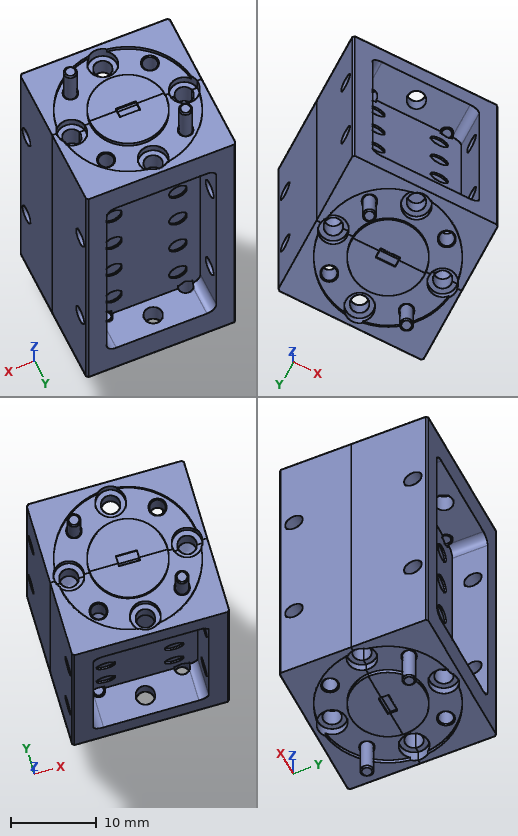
import cadquery as cq
import math


total_height = 46.25
block_width = 19.05
block_height = 38.1
edge_chamfer = 0.25
seam_y = -0.3
half_width = block_width / 2
half_height = block_height / 2

pocket_width = 13.95
pocket_height = 29.95
pocket_corner_radius = 1.2
pocket_floor_y = 5.0
pocket_depth = half_width - pocket_floor_y
end_wall = (block_height - pocket_height) / 2

seat_diameter = 2.25
seat_depth = 0.25
seat_rows = 5
seat_row_pitch = 5.75
seat_column_spacing = 8.28

side_hole_diameter = 2.25
side_hole_y = 7.65
side_hole_z = 8.28

recess_diameter = 17.3
boss_diameter = 9.52
recess_depth = 0.5
guide_width = 2.55
guide_height = 1.25
guide_depth = 0.3

bolt_circle_radius = 7.15
drill_depth = 4.55
drill_tip_angle = 118.0
screw_hole_diameter = 2.25
counterbore_diameter = 3.6
counterbore_depth = 1.53
mouth_chamfer = 0.15
dowel_socket_diameter = 1.85

pin_diameter = 1.55
pin_chamfer = 0.2
pin_projection = (total_height - block_height) / 2
pin_insertion = end_wall
pin_length = pin_projection + pin_insertion

screw_angles = (0, 90, 180, 270)
pin_angles = (135, 315)
socket_angles = (45, 225)


def flange_point(angle):
    """Point on the bolt circle at the given angle."""
    return (
        bolt_circle_radius * math.cos(math.radians(angle)),
        bolt_circle_radius * math.sin(math.radians(angle)),
    )


def turn_to_lower_end(shape):
    """Turn a shape from the upper end of the block to the lower end."""
    return shape.rotate((0, 0, 0), (1, 0, 0), 180)


def drilled_hole(angle, diameter):
    """Cutter for a hole drilled from the upper end face, with a conical tip."""
    radius = diameter / 2
    tip_height = radius / math.tan(math.radians(drill_tip_angle / 2))
    shoulder_z = half_height - drill_depth
    return (
        cq.Workplane("XZ")
        .moveTo(0, half_height)
        .lineTo(radius, half_height)
        .lineTo(radius, shoulder_z)
        .lineTo(0, shoulder_z - tip_height)
        .close()
        .revolve(360, (0, 0, 0), (0, 1, 0))
        .translate((*flange_point(angle), 0))
    )


def screw_hole(angle):
    """Cutter for a counterbored screw hole."""
    counterbore = (
        cq.Workplane("XY", origin=(0, 0, half_height))
        .center(*flange_point(angle))
        .circle(counterbore_diameter / 2)
        .extrude(-counterbore_depth)
    )
    return drilled_hole(angle, screw_hole_diameter).union(counterbore)


def chamfered_hole(angle, diameter):
    """Cutter for a dowel hole with its mouth chamfered at the recess floor."""
    mouth_radius = diameter / 2 + mouth_chamfer
    mouth = (
        cq.Workplane("XY", origin=(0, 0, half_height - recess_depth))
        .center(*flange_point(angle))
        .circle(mouth_radius)
        .extrude(-mouth_radius, taper=45)
    )
    return drilled_hole(angle, diameter).union(mouth)


def flange_cutter():
    """Everything removed from the upper end of the block."""
    end_face = cq.Workplane("XY", origin=(0, 0, half_height))
    cutter = end_face.circle(recess_diameter / 2).circle(boss_diameter / 2).extrude(-recess_depth)
    cutter = cutter.union(end_face.rect(guide_width, guide_height).extrude(-guide_depth))
    for angle in screw_angles:
        cutter = cutter.union(screw_hole(angle))
    for angle in pin_angles:
        cutter = cutter.union(chamfered_hole(angle, pin_diameter))
    for angle in socket_angles:
        cutter = cutter.union(chamfered_hole(angle, dowel_socket_diameter))
    return cutter


def pocket_cutter():
    """The pocket in the -Y face, with the seats in its floor."""
    pocket = (
        cq.Workplane("XZ", origin=(0, -pocket_floor_y, 0))
        .rect(pocket_width, pocket_height)
        .extrude(pocket_depth)
        .edges("|Y")
        .fillet(pocket_corner_radius)
    )
    seats = (
        cq.Workplane("XZ", origin=(0, -pocket_floor_y, 0))
        .rarray(seat_column_spacing, seat_row_pitch, 2, seat_rows)
        .circle(seat_diameter / 2)
        .extrude(-seat_depth)
    )
    return pocket.union(seats)


def side_hole_cutter():
    """Four holes along X that cross both pockets."""
    return (
        cq.Workplane("YZ")
        .rarray(2 * side_hole_y, 2 * side_hole_z, 2, 2)
        .circle(side_hole_diameter / 2)
        .extrude(half_width, both=True)
    )


def machined_block():
    """The whole block, before it is divided at the seam."""
    block = (
        cq.Workplane("XY")
        .box(block_width, block_width, block_height)
        .edges("|Z")
        .chamfer(edge_chamfer)
    )
    front_pocket = pocket_cutter()
    upper_flange = flange_cutter()
    return (
        block.cut(front_pocket)
        .cut(front_pocket.mirror("XZ"))
        .cut(side_hole_cutter())
        .cut(upper_flange)
        .cut(turn_to_lower_end(upper_flange))
    )


def block_half(y_min, y_max):
    """The part of the machined block between two Y positions."""
    region = cq.Workplane("XY").box(block_width, y_max - y_min, block_height)
    return machined_block().intersect(region.translate((0, (y_min + y_max) / 2, 0)))


def dowel_pin(angle):
    """A dowel pin standing in the upper flange, chamfered at both ends."""
    return (
        cq.Workplane("XY", origin=(0, 0, half_height - pin_insertion))
        .center(*flange_point(angle))
        .circle(pin_diameter / 2)
        .extrude(pin_length)
        .faces("<Z or >Z")
        .chamfer(pin_chamfer)
    )


front_half = block_half(-half_width, seam_y)
rear_half = block_half(seam_y, half_width)

dowel_pins = []
for pin_angle in pin_angles:
    pin = dowel_pin(pin_angle)
    dowel_pins.append(pin.val())
    dowel_pins.append(turn_to_lower_end(pin).val())

result = cq.Compound.makeCompound([front_half.val(), rear_half.val(), *dowel_pins])